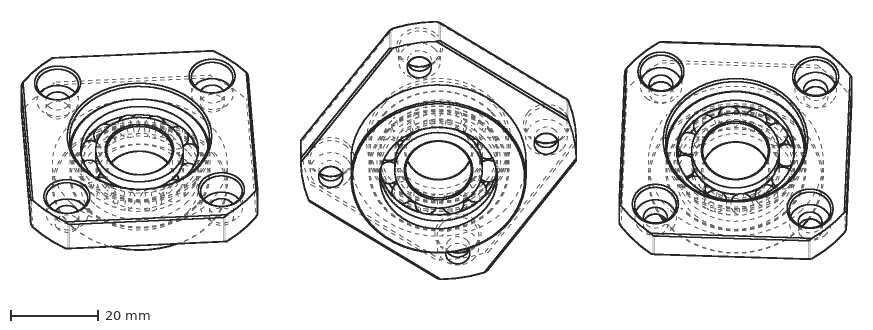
import cadquery as cq
flange_diameter = 62.95
flange_across_flats = 51.95
flange_thickness = 9.0
overall_height = 17.0
hub_diameter = 40.0
hub_chamfer = 0.3
flat_chamfer = 0.45
corner_chamfer = 0.2
seat_chamfer = 0.5

bolt_circle_diameter = 50.0
bolt_count = 4
bolt_hole_diameter = 5.5
counterbore_diameter = 9.5
counterbore_depth = 6.0
counterbore_chamfer = 0.5
counterbore_chamfer_angle = 90

bearing_outer_diameter = 32.0
bearing_bore = 15.0
bearing_width = 9.0
bearing_top_depth = 4.5
outer_ring_inner_diameter = 26.8
inner_ring_outer_diameter = 20.0
ring_chamfer = 0.3
race_groove_diameter = 4.8
ball_diameter = 5.05
ball_count = 12
first_ball_angle = -6.0

flange_bottom = overall_height - flange_thickness
bearing_top = overall_height - bearing_top_depth
bearing_bottom = bearing_top - bearing_width
ball_level = (bearing_top + bearing_bottom) / 2
ball_pitch_radius = (outer_ring_inner_diameter + inner_ring_outer_diameter) / 4


def cylinder(diameter, bottom, top):
    """Cylinder on the Z axis between two levels."""
    return cq.Workplane("XY").workplane(offset=bottom).circle(diameter / 2).extrude(top - bottom)


def make_flange():
    """Round plate with four diagonal flats, chamfered along the flats and at the corners."""
    square = (
        cq.Workplane("XY")
        .workplane(offset=flange_bottom)
        .rect(flange_across_flats, flange_across_flats)
        .extrude(flange_thickness)
        .rotate((0, 0, 0), (0, 0, 1), 45)
    )
    plate = cylinder(flange_diameter, flange_bottom, overall_height).intersect(square)
    plate = plate.faces("%PLANE").faces("#Z").edges("|Z").chamfer(corner_chamfer)
    long_edges = plate.edges("%LINE").edges("#Z").edges(cq.selectors.LengthNthSelector(-1))
    return long_edges.chamfer(flat_chamfer)


def make_hub():
    """Round boss under the flange with a chamfered lower rim."""
    hub = cylinder(hub_diameter, 0, flange_bottom)
    return hub.faces("<Z").edges().chamfer(hub_chamfer)


def cut_bearing_seat(body):
    """Cut the bearing pocket, its rim chamfer and the opening below the outer ring."""
    seat = cylinder(bearing_outer_diameter, bearing_bottom, overall_height)
    opening = cylinder(outer_ring_inner_diameter, 0, bearing_bottom)
    rim_radius = bearing_outer_diameter / 2 + seat_chamfer
    rim = cq.Workplane(cq.Solid.makeCone(
        bearing_outer_diameter / 2, rim_radius, seat_chamfer,
        pnt=cq.Vector(0, 0, overall_height - seat_chamfer),
    ))
    return body.cut(seat).cut(opening).cut(rim)


def cut_mounting_holes(body):
    """Cut the counterbored holes on the X and Y axes, with chamfered mouths."""
    mouth_diameter = counterbore_diameter + 2 * counterbore_chamfer
    return (
        body.faces(">Z")
        .workplane(origin=(0, 0, overall_height))
        .polarArray(bolt_circle_diameter / 2, 0, 360, bolt_count)
        .cboreHole(bolt_hole_diameter, counterbore_diameter, counterbore_depth)
        .faces(">Z")
        .workplane(origin=(0, 0, overall_height))
        .polarArray(bolt_circle_diameter / 2, 0, 360, bolt_count)
        .cskHole(bolt_hole_diameter, mouth_diameter, counterbore_chamfer_angle)
    )


def make_housing():
    body = make_flange().union(make_hub())
    return cut_mounting_holes(cut_bearing_seat(body))


def make_ring(outer_diameter, inner_diameter):
    """Plain bearing ring over the full bearing width."""
    return cylinder(outer_diameter, bearing_bottom, bearing_top).cut(
        cylinder(inner_diameter, bearing_bottom, bearing_top)
    )


def make_outer_ring():
    ring = make_ring(bearing_outer_diameter, outer_ring_inner_diameter)
    return ring.edges(cq.selectors.RadiusNthSelector(-1)).chamfer(ring_chamfer)


def make_inner_ring():
    ring = make_ring(inner_ring_outer_diameter, bearing_bore)
    return ring.edges(cq.selectors.RadiusNthSelector(0)).chamfer(ring_chamfer)


def make_race_groove():
    """Torus that cuts the round ball groove into both rings."""
    return cq.Workplane(cq.Solid.makeTorus(
        ball_pitch_radius, race_groove_diameter / 2, pnt=cq.Vector(0, 0, ball_level),
    ))


def make_ball(angle):
    """Ball on the pitch circle with its poles on the radial line, sunk slightly into both grooves."""
    return (
        cq.Workplane("XY")
        .sphere(ball_diameter / 2, direct=(1, 0, 0))
        .translate((ball_pitch_radius, 0, ball_level))
        .rotate((0, 0, 0), (0, 0, 1), angle)
    )


def make_bearing():
    """Two grooved rings joined into one solid by the balls between them."""
    race_groove = make_race_groove()
    bearing = make_outer_ring().cut(race_groove)
    inner_ring = make_inner_ring().cut(race_groove)
    for index in range(ball_count):
        bearing = bearing.union(make_ball(first_ball_angle + index * 360 / ball_count))
    return bearing.union(inner_ring)


housing = make_housing()
bearing = make_bearing()
result = cq.Compound.makeCompound([housing.solids().val(), bearing.solids().val()])